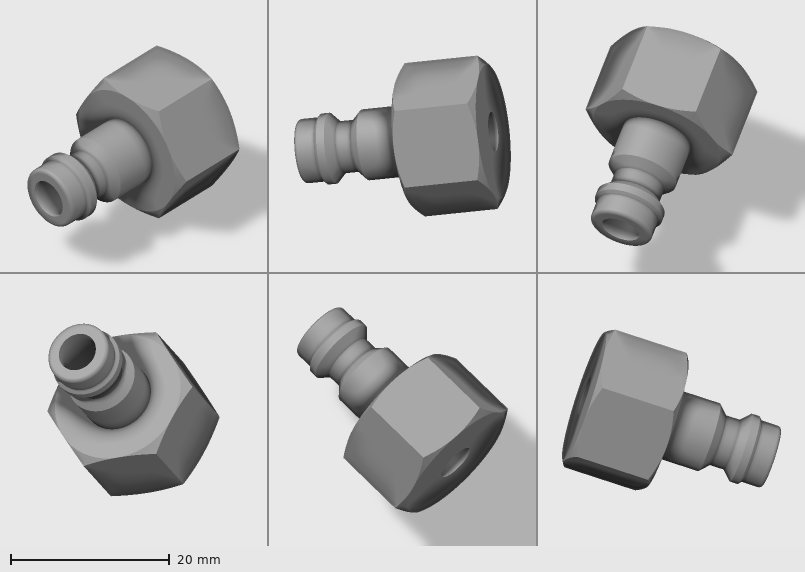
import cadquery as cq
import math

total_length = 25.0
hex_flats = 17.0
hex_length = 11.0
hex_chamfer_angle = 30.0
stem_radius = 4.5
groove_radius = 3.3
nose_radius = 4.08
bore_radius = 2.5
nose_fillet = 0.5

nose_end = 2.65
collar_end = 4.1
groove_start = collar_end + (stem_radius - groove_radius)
groove_end = 7.15
stem_start = groove_end + (stem_radius - groove_radius)
collar_start = nose_end + (stem_radius - nose_radius)
hex_start = total_length - hex_length

hex_inradius = hex_flats / 2
hex_corner_radius = hex_inradius / math.cos(math.radians(30))
chamfer_depth = (hex_corner_radius - hex_inradius) * math.tan(math.radians(hex_chamfer_angle))


def revolve_about_y(profile):
    """Turn a closed half-profile in the XY plane about the Y axis."""
    return profile.close().revolve(360, (0, 0, 0), (0, 1, 0))


def make_hex():
    """Hexagon with corners on the X axis, both ends chamfered by turning."""
    prism = (
        cq.Workplane("XZ", origin=(0, total_length, 0))
        .polygon(6, 2 * hex_corner_radius)
        .extrude(hex_length)
    )
    envelope = revolve_about_y(
        cq.Workplane("XY").polyline([
            (0, hex_start),
            (hex_inradius, hex_start),
            (hex_corner_radius, hex_start + chamfer_depth),
            (hex_corner_radius, total_length - chamfer_depth),
            (hex_inradius, total_length),
            (0, total_length),
        ])
    )
    return prism.intersect(envelope)


def make_stem():
    """Turned plug with a rounded nose, a collar and a 45-degree-sided groove."""
    stem = revolve_about_y(
        cq.Workplane("XY").polyline([
            (0, 0),
            (nose_radius, 0),
            (nose_radius, nose_end),
            (stem_radius, collar_start),
            (stem_radius, collar_end),
            (groove_radius, groove_start),
            (groove_radius, groove_end),
            (stem_radius, stem_start),
            (stem_radius, hex_start),
            (0, hex_start),
        ])
    )
    return stem.faces("<Y").edges().fillet(nose_fillet)


bore = cq.Workplane("XZ").circle(bore_radius).extrude(-total_length)

result = make_hex().union(make_stem()).cut(bore)